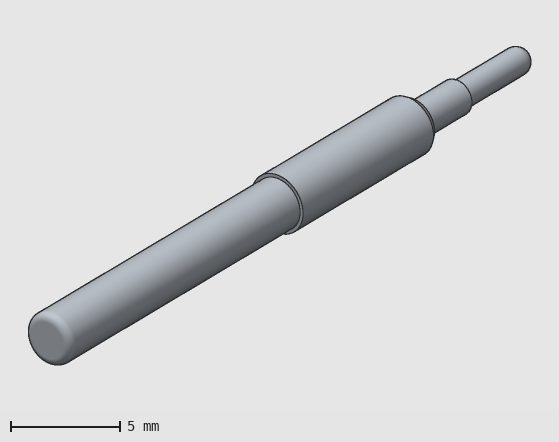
import cadquery as cq

total_length = 35.3

tip_diameter = 1.4
collar_diameter = 1.8
barrel_diameter = 3.0
tail_diameter = 2.65

tail_length = 16.98
barrel_length = 10.0
collar_length = 3.32
tip_length = total_length - tail_length - barrel_length - collar_length

tail_fillet = 0.4
barrel_chamfer_length = 0.35
barrel_chamfer_depth = 0.2
collar_fillet = 0.1
dome_radius = tip_diameter / 2


def rod(diameter, rear_y, length):
    """Solid cylinder along +Y starting at rear_y."""
    base = cq.Plane(origin=(0, rear_y, 0), xDir=(1, 0, 0), normal=(0, 1, 0))
    return cq.Workplane(base).circle(diameter / 2).extrude(length)


tail_rear = -total_length / 2
barrel_rear = tail_rear + tail_length
collar_rear = barrel_rear + barrel_length
tip_rear = collar_rear + collar_length

tail = rod(tail_diameter, tail_rear, tail_length).faces("<Y").edges().fillet(tail_fillet)

barrel = rod(barrel_diameter, barrel_rear, barrel_length)
barrel = barrel.faces(">Y").edges().chamfer(barrel_chamfer_length, barrel_chamfer_depth)

collar = rod(collar_diameter, collar_rear, collar_length).faces(">Y").edges().fillet(collar_fillet)

shank_length = tip_length - dome_radius
dome_centre = (0, tip_rear + shank_length, 0)
dome = cq.Workplane("XY").sphere(dome_radius).translate(dome_centre)
tip = rod(tip_diameter, tip_rear, shank_length).union(dome)

result = tail.union(barrel).union(collar).union(tip)